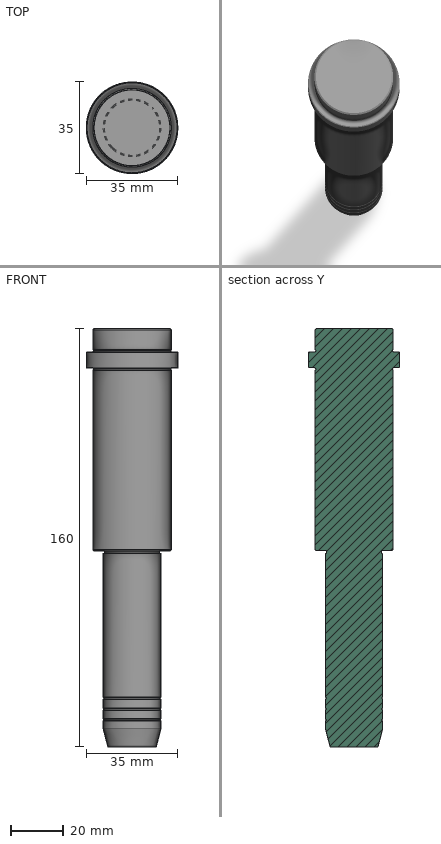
import cadquery as cq

total_length = 160.0

flange_diameter = 35.0
body_diameter = 30.0
pin_diameter = 22.0
tip_diameter = 18.4

head_length = 9.0
flange_thickness = 6.0
body_length = 70.0
tip_taper_length = 7.0

head_chamfer = 0.56
flange_chamfer = 0.3
body_chamfer = 0.5
tip_fillet = 0.5

relief_depth = 0.5
relief_width = 1.0

ring_count = 3
ring_pitch = 4.2
ring_width = 1.0
ring_depth = 0.4
lowest_ring_height = 10.4

flange_top = total_length - head_length
flange_bottom = flange_top - flange_thickness
body_bottom = flange_bottom - body_length


def cylinder(diameter, bottom, top):
    """Solid cylinder on the Z axis between two heights."""
    return cq.Workplane("XY").workplane(offset=bottom).circle(diameter / 2).extrude(top - bottom)


def v_groove(diameter, depth, bottom, width):
    """Ring that cuts a V-shaped groove of the given depth into a shaft."""
    radius = diameter / 2
    return (
        cq.Workplane("XZ")
        .moveTo(radius + depth, bottom)
        .lineTo(radius, bottom)
        .lineTo(radius - depth, bottom + width / 2)
        .lineTo(radius, bottom + width)
        .lineTo(radius + depth, bottom + width)
        .close()
        .revolve(360, (0, 0, 0), (0, 1, 0))
    )


body = cylinder(body_diameter, body_bottom, total_length)
body = body.faces(">Z").chamfer(head_chamfer)
body = body.faces("<Z").chamfer(body_chamfer)
for groove_bottom in (flange_top, flange_bottom - relief_width):
    body = body.cut(v_groove(body_diameter, relief_depth, groove_bottom, relief_width))
flange = cylinder(flange_diameter, flange_bottom, flange_top).faces(">Z").chamfer(flange_chamfer)

neck_bottom = body_bottom - relief_width
neck = cylinder(pin_diameter - 2 * relief_depth, neck_bottom, body_bottom)
pin = cylinder(pin_diameter, tip_taper_length, neck_bottom)
tip = (
    cq.Workplane("XY")
    .circle(tip_diameter / 2)
    .workplane(offset=tip_taper_length)
    .circle(pin_diameter / 2)
    .loft()
    .faces("<Z")
    .edges()
    .fillet(tip_fillet)
)
pin = pin.union(tip)
for ring in range(ring_count):
    ring_bottom = lowest_ring_height + ring * ring_pitch - ring_width / 2
    pin = pin.cut(v_groove(pin_diameter, ring_depth, ring_bottom, ring_width))

result = body.union(flange).union(neck).union(pin)